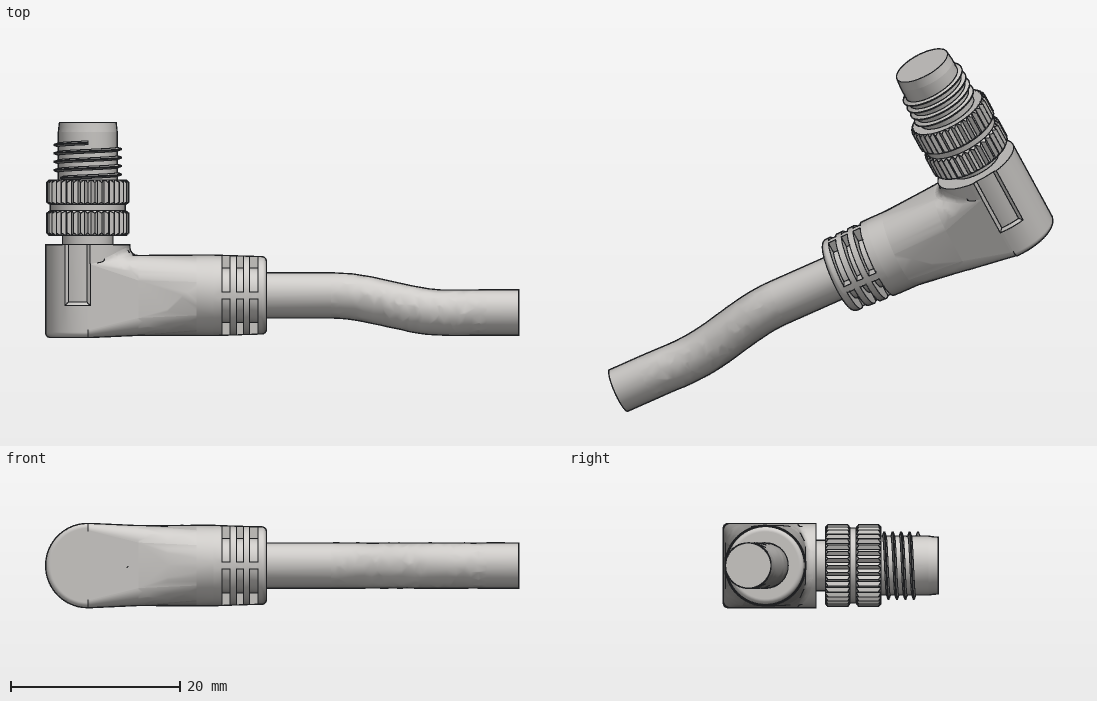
import cadquery as cq
import math


ELBOW_RADIUS = 5.0
ELBOW_TOP_Y = 6.0
ELBOW_BOTTOM_Y = -5.0
ELBOW_EDGE_RADIUS = 0.6
STEP_END_X = 0.3
CROOK_RADIUS = 0.9
CROOK_HALF_WIDTH = 4.6

STEP_TOP_Y = 4.55
STEP_CORNER_RADIUS = 0.9
MIDDLE_X = 6.0
MIDDLE_HALF_WIDTH = 4.74
MIDDLE_TOP_CORNER_RADIUS = 3.0
MIDDLE_BOTTOM_CORNER_RADIUS = 2.05
GRIP_START_X = 12.9
TOP_FLAT_ANGLE = 19.0
BOTTOM_FLAT_ANGLE = 30.0

GRIP_RADIUS = 4.78
TAPER_START_X = 14.9
GRIP_END_X = 21.15
GRIP_END_RADIUS = 4.58
GRIP_EDGE_RADIUS = 0.6
SLOT_CORE_RADIUS = 3.25
SLOT_WIDTHS = (0.95, 0.8, 0.95)
FIRST_SLOT_X = 16.35
SLOT_PITCH = 1.64
SLOT_RIB_WIDTH = 0.86

CABLE_RADIUS = 2.7
BEND_START_X = 28.8
BEND_END_X = 47.2
BEND_MIDDLE = (35.1, -0.9)
BEND_FOOT = (40.5, -1.95)
CABLE_END_X = 51.0
CABLE_DROP = 2.02

PLATE_DEPTH = 0.25
PLATE_LEFT_X = -2.7
PLATE_WALL_RUN = 0.4
PLATE_BOTTOM_Y = -1.2

NECK_RADIUS = 3.0
RING_BOTTOM_Y = 7.1
RING_TOP_Y = 13.65
RING_RADIUS = 4.86
RING_ROOT_RADIUS = 4.5
RING_CHAMFER = 0.3
RING_GROOVE_RADIUS = 4.45
RING_GROOVE_WIDTH = 0.7
TEETH = 36
NOSE_RADIUS = 3.5
NOSE_TIP_RADIUS = 3.37
NOSE_TAPER_Y = 19.3
NOSE_TIP_Y = 20.45
THREAD_RADIUS = 4.0
THREAD_PITCH = 1.0
THREAD_TOP_Y = 18.05
THREAD_TURNS = 4.15
THREAD_BASE_WIDTH = 0.5
THREAD_CREST_WIDTH = 0.1
THREAD_SINK = 0.1


def along_y(radius, start, end):
    return cq.Workplane("XZ", origin=(0, start, 0)).circle(radius).extrude(start - end)


def turned_about_x(points):
    return cq.Workplane("XY").polyline(points).close().revolve(360, (0, 0, 0), (1, 0, 0))


def turned_about_y(points):
    return cq.Workplane("XY").polyline(points).close().revolve(360, (0, 0, 0), (0, 1, 0))


def box_section(x, top, bottom, half_width, top_radius, bottom_radius):
    """Rectangle with rounded corners in the plane at x, starting on the +Z side."""
    upper = top - top_radius
    lower = bottom + bottom_radius
    top_z = half_width - top_radius
    bottom_z = half_width - bottom_radius
    top_bulge = top_radius * math.sqrt(0.5)
    bottom_bulge = bottom_radius * math.sqrt(0.5)
    return (
        cq.Workplane("YZ", origin=(x, 0, 0))
        .moveTo(lower, half_width)
        .lineTo(upper, half_width)
        .threePointArc((upper + top_bulge, top_z + top_bulge), (top, top_z))
        .lineTo(top, -top_z)
        .threePointArc((upper + top_bulge, -top_z - top_bulge), (upper, -half_width))
        .lineTo(lower, -half_width)
        .threePointArc((lower - bottom_bulge, -bottom_z - bottom_bulge), (bottom, -bottom_z))
        .lineTo(bottom, bottom_z)
        .threePointArc((lower - bottom_bulge, bottom_z + bottom_bulge), (lower, half_width))
        .close()
        .val()
    )


def circle_section(x, radius):
    """Circle in the plane at x, divided into arcs that match the edges of a box section."""
    top, bottom = TOP_FLAT_ANGLE, BOTTOM_FLAT_ANGLE
    angles = [90 + bottom, 90 - top, top, -top, top - 90, -90 - bottom, bottom - 180, -180 - bottom]
    angles.append(angles[0] - 360)

    def at(angle):
        turn = math.radians(angle)
        return (radius * math.cos(turn), radius * math.sin(turn))

    outline = cq.Workplane("YZ", origin=(x, 0, 0)).moveTo(*at(angles[0]))
    for start, end in zip(angles, angles[1:]):
        outline = outline.threePointArc(at((start + end) / 2), at(end))
    return outline.close().val()


def ruled_loft(first, second):
    return cq.Workplane(cq.Solid.makeLoft([first, second], True))


def make_corner_shell():
    """Cylinder on the plug axis, whose lower part is only the half away from the grip."""
    cylinder = along_y(ELBOW_RADIUS, ELBOW_BOTTOM_Y, ELBOW_TOP_Y)
    cylinder = cylinder.faces("<Y").edges().fillet(ELBOW_EDGE_RADIUS)
    grip_side = cq.Workplane("XY", origin=(0, ELBOW_BOTTOM_Y, 0)).box(
        ELBOW_RADIUS, -ELBOW_BOTTOM_Y, 2 * ELBOW_RADIUS, centered=(False, False, True)
    )
    return cylinder.cut(grip_side)


def make_crook(blend):
    """Blend joined to the upper elbow, with the inside corner rounded."""
    reach = 2 * ELBOW_RADIUS
    trimmed = along_y(ELBOW_RADIUS, 0, ELBOW_TOP_Y)
    trimmed = trimmed.intersect(cq.Workplane("XY").box(reach, 2 * reach, 2 * CROOK_HALF_WIDTH))
    inside_corner = cq.selectors.BoxSelector(
        (2 * STEP_END_X, STEP_TOP_Y - STEP_CORNER_RADIUS, -ELBOW_RADIUS),
        (ELBOW_RADIUS + STEP_END_X, MIDDLE_HALF_WIDTH, ELBOW_RADIUS),
    ) - cq.selectors.TypeSelector("LINE")
    return blend.union(trimmed).edges(inside_corner).fillet(CROOK_RADIUS)


def make_elbow():
    step_start = box_section(
        0, STEP_TOP_Y, ELBOW_BOTTOM_Y, ELBOW_RADIUS, STEP_CORNER_RADIUS, STEP_CORNER_RADIUS
    )
    step_end = step_start.translate(cq.Vector(STEP_END_X, 0, 0))
    middle = box_section(
        MIDDLE_X, MIDDLE_HALF_WIDTH, -MIDDLE_HALF_WIDTH, MIDDLE_HALF_WIDTH,
        MIDDLE_TOP_CORNER_RADIUS, MIDDLE_BOTTOM_CORNER_RADIUS,
    )
    grip_start = circle_section(GRIP_START_X, GRIP_RADIUS)
    crook = make_crook(ruled_loft(step_end, middle))
    body = make_corner_shell().union(ruled_loft(step_start, step_end))
    return body.union(crook).union(ruled_loft(middle, grip_start))


def make_grip():
    sleeve = turned_about_x([
        (GRIP_START_X, 0),
        (GRIP_START_X, GRIP_RADIUS),
        (TAPER_START_X, GRIP_RADIUS),
        (GRIP_END_X, GRIP_END_RADIUS),
        (GRIP_END_X, 0),
    ]).faces(">X").edges().fillet(GRIP_EDGE_RADIUS)
    for index, width in enumerate(SLOT_WIDTHS):
        sleeve = sleeve.cut(make_slot_ring(FIRST_SLOT_X + index * SLOT_PITCH, width))
    return sleeve


def make_slot_ring(centre_x, width):
    """Four windows around the sleeve, parted by ribs on the Y and Z axes."""
    reach = 2 * ELBOW_RADIUS
    plane = cq.Workplane("YZ", origin=(centre_x - width / 2, 0, 0))
    ring = plane.circle(ELBOW_RADIUS).circle(SLOT_CORE_RADIUS).extrude(width)
    ribs = plane.rect(reach, SLOT_RIB_WIDTH).extrude(width)
    ribs = ribs.union(plane.rect(SLOT_RIB_WIDTH, reach).extrude(width))
    return ring.cut(ribs)


def make_cable():
    bend_points = [BEND_MIDDLE, BEND_FOOT, (BEND_END_X, -CABLE_DROP)]
    path = (
        cq.Workplane("XY")
        .moveTo(GRIP_END_X - GRIP_EDGE_RADIUS, 0)
        .lineTo(BEND_START_X, 0)
        .spline(bend_points, tangents=[(1, 0), (1, 0)], includeCurrent=True)
        .lineTo(CABLE_END_X, -CABLE_DROP)
    )
    start = cq.Workplane("YZ", origin=(GRIP_END_X - GRIP_EDGE_RADIUS, 0, 0))
    return start.circle(CABLE_RADIUS).sweep(path)


def make_plate_recess():
    """Shallow recess on the +Z side with sloping walls and a floor concentric with the elbow."""
    floor_radius = ELBOW_RADIUS - PLATE_DEPTH
    clear_z = ELBOW_RADIUS + PLATE_DEPTH
    floor_left = PLATE_LEFT_X + PLATE_WALL_RUN
    floor_right = STEP_END_X - PLATE_WALL_RUN

    def on_floor(x):
        return (x, math.sqrt(floor_radius**2 - x**2))

    left_rim = (PLATE_LEFT_X, math.sqrt(ELBOW_RADIUS**2 - PLATE_LEFT_X**2))
    profile = (
        cq.Workplane("XZ", origin=(0, PLATE_BOTTOM_Y, 0))
        .moveTo(PLATE_LEFT_X, clear_z)
        .lineTo(*left_rim)
        .lineTo(*on_floor(floor_left))
        .threePointArc(on_floor((floor_left + floor_right) / 2), on_floor(floor_right))
        .lineTo(STEP_END_X, ELBOW_RADIUS)
        .lineTo(STEP_END_X, clear_z)
        .close()
    )
    prism = profile.extrude(PLATE_BOTTOM_Y - ELBOW_TOP_Y)
    sloped_end = turned_about_y([
        (0, PLATE_BOTTOM_Y + 2 * PLATE_WALL_RUN),
        (ELBOW_RADIUS - 2 * PLATE_DEPTH, PLATE_BOTTOM_Y + 2 * PLATE_WALL_RUN),
        (ELBOW_RADIUS, PLATE_BOTTOM_Y),
        (2 * ELBOW_RADIUS, PLATE_BOTTOM_Y),
        (2 * ELBOW_RADIUS, ELBOW_TOP_Y),
        (0, ELBOW_TOP_Y),
    ])
    return prism.intersect(sloped_end)


def make_knurled_ring():
    points = []
    for index in range(2 * TEETH):
        radius = RING_ROOT_RADIUS if index % 2 else RING_RADIUS
        angle = math.pi * index / TEETH
        points.append((radius * math.sin(angle), radius * math.cos(angle)))
    height = RING_TOP_Y - RING_BOTTOM_Y
    teeth = cq.Workplane("XZ", origin=(0, RING_BOTTOM_Y, 0)).polyline(points).close().extrude(-height)

    rim_radius = RING_RADIUS - RING_CHAMFER
    groove_low = (RING_BOTTOM_Y + RING_TOP_Y - RING_GROOVE_WIDTH) / 2
    groove_high = groove_low + RING_GROOVE_WIDTH
    envelope = turned_about_y([
        (0, RING_BOTTOM_Y),
        (rim_radius, RING_BOTTOM_Y),
        (RING_RADIUS, RING_BOTTOM_Y + RING_CHAMFER),
        (RING_RADIUS, groove_low - RING_CHAMFER),
        (RING_GROOVE_RADIUS, groove_low),
        (RING_GROOVE_RADIUS, groove_high),
        (RING_RADIUS, groove_high + RING_CHAMFER),
        (RING_RADIUS, RING_TOP_Y - RING_CHAMFER),
        (rim_radius, RING_TOP_Y),
        (0, RING_TOP_Y),
    ])
    return teeth.intersect(envelope)


def make_nose():
    return turned_about_y([
        (0, RING_TOP_Y),
        (NOSE_RADIUS, RING_TOP_Y),
        (NOSE_RADIUS, NOSE_TAPER_Y),
        (NOSE_TIP_RADIUS, NOSE_TIP_Y),
        (0, NOSE_TIP_Y),
    ])


def make_thread():
    """Right-hand ridge whose upper end lies on the +Z side of the nose."""
    height = THREAD_TURNS * THREAD_PITCH
    helix = cq.Workplane(cq.Wire.makeHelix(THREAD_PITCH, height, NOSE_RADIUS))
    root = NOSE_RADIUS - THREAD_SINK
    ridge = (
        cq.Workplane("XZ")
        .polyline([
            (root, -THREAD_BASE_WIDTH / 2),
            (THREAD_RADIUS, -THREAD_CREST_WIDTH / 2),
            (THREAD_RADIUS, THREAD_CREST_WIDTH / 2),
            (root, THREAD_BASE_WIDTH / 2),
        ])
        .close()
        .sweep(helix, isFrenet=True)
    )
    start_angle = 270 - 360 * THREAD_TURNS
    ridge = ridge.rotate((0, 0, 0), (0, 0, 1), start_angle)
    return ridge.rotate((0, 0, 0), (1, 0, 0), -90).translate((0, THREAD_TOP_Y - height, 0))


recess = make_plate_recess()
elbow = make_elbow().cut(recess).cut(recess.mirror("XY"))
neck = along_y(NECK_RADIUS, ELBOW_TOP_Y, RING_BOTTOM_Y)
nose = make_nose().union(make_thread())

result = elbow.union(make_grip()).union(make_cable())
result = result.union(neck).union(make_knurled_ring()).union(nose)